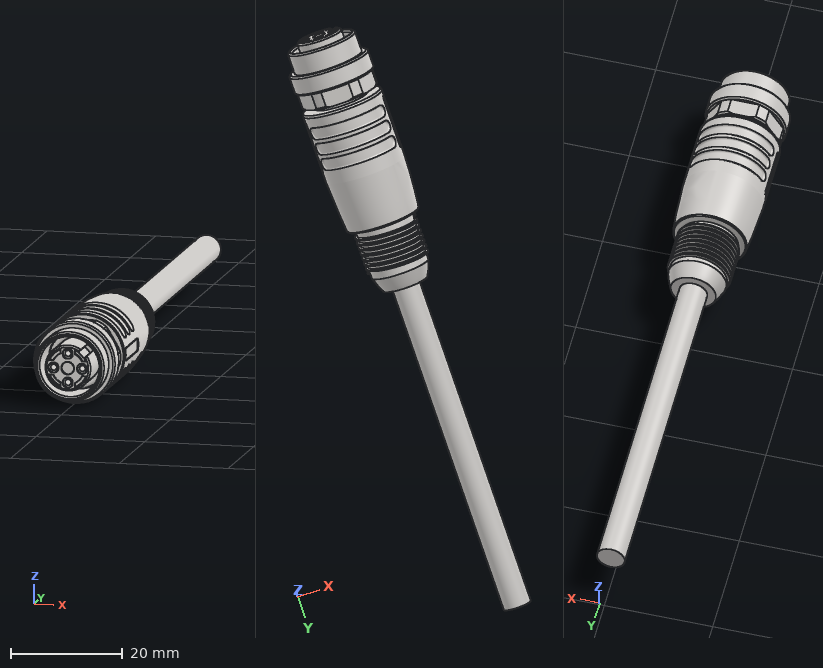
import cadquery as cq
import math

OVERLAP = 0.2

NUT_FRONT_Y = 1.2
RING_FRONT_Y = 5.2
RING_REAR_Y = 8.8
HEX_REAR_Y = 11.9
BODY_FRONT_Y = 12.6
BODY_TAPER_Y = 25.7
BODY_REAR_Y = 35.8
GLAND_SHOULDER_Y = 45.0
GLAND_REAR_Y = 47.9
CABLE_END_Y = 109.9

CABLE_D = 5.2
GLAND_CORE_D = 10.8
GLAND_REAR_D = 8.4
GLAND_BULGE = 0.1
THREAD_D = 11.6
THREAD_PITCH = 1.0
THREAD_TURNS = 7.5
THREAD_CREST = 0.2
THREAD_ROOT = 0.7
THREAD_FRONT_Y = 36.6

BODY_D = 15.0
BODY_REAR_D = 13.6
BODY_BULGE = 0.1
BODY_REAR_SHOULDER_D = 11.6
BODY_REAR_BEVEL = 0.4
BODY_FRONT_CHAMFER = (0.16, 0.4)
NECK_D = 9.7

GROOVE_COUNT = 3
GROOVE_PITCH = 3.0
GROOVE_WIDTH = 2.2
GROOVE_DEPTH = 0.4
GROOVE_FLOOR_ROUND = 0.3
GROOVE_END_Z = 2.7
GRIP_MIDDLE_Y = 19.0
PANEL_LENGTH = 9.9
PANEL_WIDTH = 2.3
PANEL_DEPTH = 0.2
PANEL_CORNER_R = 0.5

NUT_D = 12.7
NUT_BORE_D = 11.0
NUT_CHAMFER = 0.3
RING_D = BODY_D
HEX_FLATS = 13.2
HEX_ROUND_D = 14.2
CAVITY_FLOOR_Y = 8.8

INSERT_D = 8.4
INSERT_CHAMFER = 0.3
SEAL_INNER_D = INSERT_D - OVERLAP
SEAL_OUTER_D = 10.8
CONTACT_COUNT = 4
CONTACT_CIRCLE_D = 5.3
CONTACT_HOLE_D = 1.1
CONTACT_HOLE_DEPTH = 4.4
CONTACT_RECESS_D = 1.9
CENTER_RECESS_D = 2.3
RECESS_DEPTH = 0.4
ARC_POCKET_INNER_D = 5.9
ARC_POCKET_OUTER_D = 7.3
ARC_POCKET_WEB = 2.6
KEYWAY_WIDTH = 1.5
KEYWAY_FLOOR_R = 3.4
KEYWAY_LENGTH = 5.5
KEYWAY_ANGLE = 45


def cylinder(diameter, start_y, end_y):
    """Round bar along Y."""
    return cq.Workplane("XZ", origin=(0, start_y, 0)).circle(diameter / 2).extrude(start_y - end_y)


def spin(profile):
    """Revolve a (radius, Y) outline a full turn about the Y axis."""
    return profile.close().revolve(360, (0, 0, 0), (0, 1, 0))


def bulged_middle(start, end, bulge):
    """Middle point of an arc that stands out in radius from the straight line start-end."""
    return ((start[0] + end[0]) / 2 + bulge, (start[1] + end[1]) / 2)


def make_gland():
    """Gland core with its domed rear end."""
    shoulder = (GLAND_CORE_D / 2, GLAND_SHOULDER_Y)
    rear = (GLAND_REAR_D / 2, GLAND_REAR_Y)
    outline = (
        cq.Workplane("XY")
        .moveTo(0, BODY_REAR_Y - OVERLAP)
        .lineTo(GLAND_CORE_D / 2, BODY_REAR_Y - OVERLAP)
        .lineTo(*shoulder)
        .threePointArc(bulged_middle(shoulder, rear, GLAND_BULGE), rear)
        .lineTo(0, GLAND_REAR_Y)
    )
    return spin(outline)


def make_thread():
    """Left-hand helical ridge on the gland core."""
    root_r = GLAND_CORE_D / 2 - OVERLAP
    crest_r = THREAD_D / 2
    helix = cq.Wire.makeHelix(THREAD_PITCH, THREAD_PITCH * THREAD_TURNS, root_r, lefthand=True)
    ridge = (
        cq.Workplane("XZ")
        .polyline([
            (root_r, -THREAD_ROOT / 2),
            (crest_r, -THREAD_CREST / 2),
            (crest_r, THREAD_CREST / 2),
            (root_r, THREAD_ROOT / 2),
        ])
        .close()
        .sweep(cq.Workplane(obj=helix), isFrenet=True)
    )
    return ridge.rotate((0, 0, 0), (1, 0, 0), -90).translate((0, THREAD_FRONT_Y, 0))


def make_body():
    """Grip body: straight in front, gently tapered towards the gland."""
    taper_start = (BODY_D / 2, BODY_TAPER_Y)
    taper_end = (BODY_REAR_D / 2, BODY_REAR_Y - BODY_REAR_BEVEL)
    chamfer_radial, chamfer_axial = BODY_FRONT_CHAMFER
    outline = (
        cq.Workplane("XY")
        .moveTo(0, BODY_FRONT_Y)
        .lineTo(BODY_D / 2 - chamfer_radial, BODY_FRONT_Y)
        .lineTo(BODY_D / 2, BODY_FRONT_Y + chamfer_axial)
        .lineTo(*taper_start)
        .threePointArc(bulged_middle(taper_start, taper_end, BODY_BULGE), taper_end)
        .lineTo(BODY_REAR_D / 2 - BODY_REAR_BEVEL / 2, BODY_REAR_Y - BODY_REAR_BEVEL / 2)
        .lineTo(BODY_REAR_SHOULDER_D / 2, BODY_REAR_Y)
        .lineTo(0, BODY_REAR_Y)
    )
    return spin(outline)


def make_grip_grooves():
    """Grooves of even depth that wrap over +Z and -Z and end in rounds near the X sides."""
    first_y = GRIP_MIDDLE_Y - GROOVE_PITCH * (GROOVE_COUNT - 1) / 2
    last_y = first_y + GROOVE_PITCH * GROOVE_COUNT
    floor_r = BODY_D / 2 - GROOVE_DEPTH
    skin = cylinder(BODY_D + GROOVE_DEPTH, first_y - GROOVE_PITCH, last_y).cut(
        cylinder(2 * floor_r, first_y - GROOVE_PITCH, last_y)
    )
    slot_length = BODY_D
    slot_middle_z = GROOVE_END_Z + slot_length / 2
    slots = (
        cq.Workplane("YZ")
        .pushPoints([
            (first_y + GROOVE_PITCH * index, side * slot_middle_z)
            for index in range(GROOVE_COUNT)
            for side in (-1, 1)
        ])
        .slot2D(slot_length, GROOVE_WIDTH, 90)
        .extrude(BODY_D, both=True)
    )

    def on_floor(edge):
        middle = edge.positionAt(0.5)
        return math.isclose(math.hypot(middle.x, middle.z), floor_r, abs_tol=GROOVE_DEPTH / 10)

    return skin.intersect(slots).edges().filter(on_floor).fillet(GROOVE_FLOOR_ROUND)


def make_panels():
    """Flat, shallow label panels on +X and -X."""
    floor_x = BODY_D / 2 - PANEL_DEPTH
    panel = (
        cq.Workplane("YZ", origin=(floor_x, GRIP_MIDDLE_Y, 0))
        .rect(PANEL_LENGTH, PANEL_WIDTH)
        .extrude(2 * PANEL_DEPTH)
        .edges("|X")
        .fillet(PANEL_CORNER_R)
    )
    return panel.union(panel.mirror("YZ"))


def make_nut():
    """Coupling nut: hexagon at the rear, collar in the middle, round sleeve in front."""
    hexagon = (
        cq.Workplane("XZ", origin=(0, RING_REAR_Y - OVERLAP, 0))
        .polygon(6, HEX_FLATS / math.cos(math.pi / 6))
        .extrude(RING_REAR_Y - OVERLAP - HEX_REAR_Y)
    )
    hex_blank = cylinder(HEX_ROUND_D, RING_REAR_Y - OVERLAP, HEX_REAR_Y)
    hexagon = hexagon.intersect(hex_blank.faces(">Y").chamfer(NUT_CHAMFER))
    collar = cylinder(RING_D, RING_FRONT_Y, RING_REAR_Y).faces("<Y or >Y").chamfer(NUT_CHAMFER)
    sleeve = cylinder(NUT_D, NUT_FRONT_Y, RING_FRONT_Y + OVERLAP).faces("<Y").chamfer(NUT_CHAMFER)
    bore = cylinder(NUT_BORE_D, NUT_FRONT_Y, CAVITY_FLOOR_Y)
    lead_in = (
        cq.Workplane("XY")
        .moveTo(0, NUT_FRONT_Y)
        .lineTo(NUT_BORE_D / 2 + NUT_CHAMFER, NUT_FRONT_Y)
        .lineTo(NUT_BORE_D / 2, NUT_FRONT_Y + NUT_CHAMFER)
        .lineTo(0, NUT_FRONT_Y + NUT_CHAMFER)
    )
    return hexagon.union(collar).union(sleeve).cut(bore).cut(spin(lead_in))


def make_arc_pockets():
    """Shallow ring pocket split into four arcs by the webs that carry the contacts."""
    ring = cylinder(ARC_POCKET_OUTER_D, 0, RECESS_DEPTH).cut(cylinder(ARC_POCKET_INNER_D, 0, RECESS_DEPTH))
    web_along_x = cq.Workplane("XY").box(INSERT_D, 2 * RECESS_DEPTH, ARC_POCKET_WEB)
    web_along_z = cq.Workplane("XY").box(ARC_POCKET_WEB, 2 * RECESS_DEPTH, INSERT_D)
    return ring.cut(web_along_x).cut(web_along_z)


def make_insert():
    """Contact insert with recessed contact holes and centre, arc pockets and one keyway."""
    insert = cylinder(INSERT_D, 0, CAVITY_FLOOR_Y + OVERLAP).faces("<Y").chamfer(INSERT_CHAMFER)
    front = insert.faces("<Y").workplane(origin=(0, 0, 0))
    insert = (
        front.polarArray(CONTACT_CIRCLE_D / 2, 0, 360, CONTACT_COUNT)
        .cboreHole(CONTACT_HOLE_D, CONTACT_RECESS_D, RECESS_DEPTH, CONTACT_HOLE_DEPTH)
    )
    insert = insert.cut(cylinder(CENTER_RECESS_D, 0, RECESS_DEPTH))
    insert = insert.cut(make_arc_pockets())
    keyway_depth = INSERT_D / 2
    keyway = (
        cq.Workplane("XY")
        .box(keyway_depth, KEYWAY_LENGTH, KEYWAY_WIDTH, centered=(False, False, True))
        .translate((KEYWAY_FLOOR_R, 0, 0))
        .rotate((0, 0, 0), (0, 1, 0), -KEYWAY_ANGLE)
    )
    return insert.cut(keyway)


def make_seal():
    """Sealing ring at the bottom of the nut cavity."""
    section_d = (SEAL_OUTER_D - SEAL_INNER_D) / 2
    middle_r = (SEAL_OUTER_D - section_d) / 2
    section = cq.Workplane("XY").center(middle_r, CAVITY_FLOOR_Y - section_d / 4).circle(section_d / 2)
    return section.revolve(360, (-middle_r, 0, 0), (-middle_r, 1, 0))


cable = cylinder(CABLE_D, GLAND_REAR_Y - OVERLAP, CABLE_END_Y)
neck = cylinder(NECK_D, HEX_REAR_Y - OVERLAP, BODY_FRONT_Y + OVERLAP)
body = make_body().cut(make_grip_grooves()).cut(make_panels())

result = body.union(make_gland()).union(make_thread()).union(cable)
result = result.union(neck).union(make_nut()).union(make_insert()).union(make_seal())